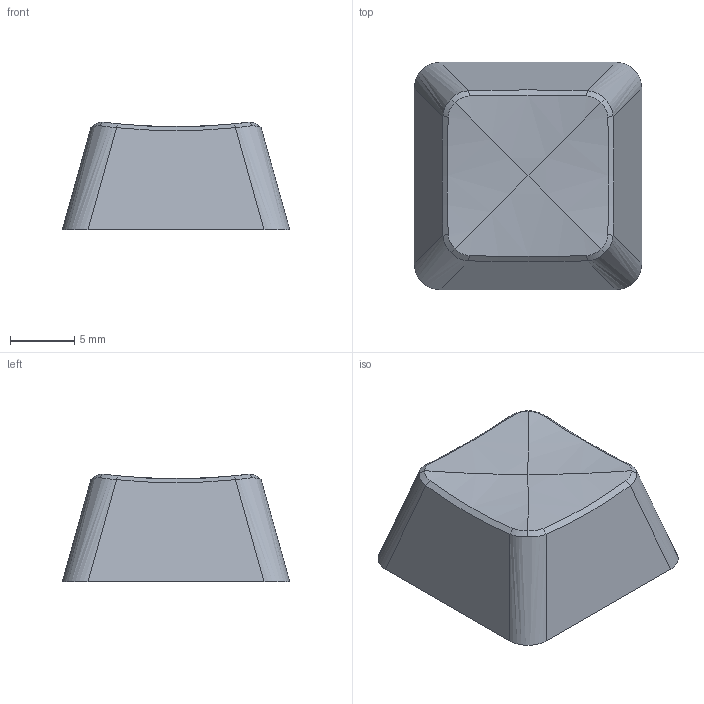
import cadquery as cq

base_width = 17.7
corner_radius = 2.0
blank_height = 9.0
side_slope = 0.28
dish_height = 8.03
dish_radius = 45.0
rim_chamfer = 0.32

blank_top_width = base_width - 2 * side_slope * blank_height


def rounded_square(width, height):
    """Square outline with rounded corners, lying flat at the given height."""
    outline = cq.Sketch().rect(width, width).vertices().fillet(corner_radius)
    return outline.moved(cq.Location(cq.Vector(0, 0, height)))


def tapered_blank():
    """Body with four sloping sides and rounded corners, before the top is dished."""
    base = rounded_square(base_width, 0)
    top = rounded_square(blank_top_width, blank_height)
    return cq.Workplane("XY").placeSketch(base, top).loft(ruled=True)


def trough_cutter(plane):
    """Horizontal cylinder whose lowest line sits at the dish height."""
    return (
        cq.Workplane(plane)
        .center(0, dish_height + dish_radius)
        .circle(dish_radius)
        .extrude(base_width, both=True)
    )


def troughed_body(plane):
    """Blank with one trough across its top and a bevel all round the trough's rim."""
    body = tapered_blank().cut(trough_cutter(plane))
    trough_face = body.faces("%CYLINDER")
    return trough_face.edges().chamfer(rim_chamfer)


result = troughed_body("XZ").intersect(troughed_body("YZ"))